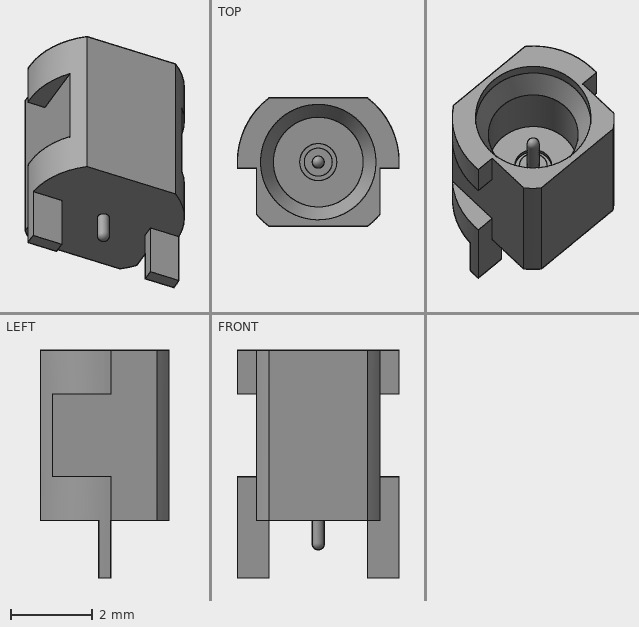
import cadquery as cq
import math

total_height = 5.61
flange_width = 3.99
flange_radius = flange_width / 2
body_depth = 3.17
body_width = 3.05
body_bottom = 1.415
body_height = total_height - body_bottom

flange_height = 1.08
flange_front = -0.15
leg_thickness = 0.305
leg_gap = 2 * math.sqrt(flange_radius**2 - (body_depth / 2) ** 2)

mouth_diameter = 2.845
bore_diameter = 2.21
mouth_depth = 0.34
taper_half_angle = 30.0
socket_depth = 2.525
groove_outer_diameter = 0.915
groove_inner_diameter = 0.69
groove_depth = 0.11

upper_pin_diameter = 0.3
upper_pin_top = 4.375
lower_pin_diameter = 0.305
lower_pin_bottom = 0.69

socket_floor = total_height - socket_depth


def cylinder(diameter, bottom, height):
    """Vertical cylinder on the connector axis."""
    return cq.Workplane("XY").workplane(offset=bottom).circle(diameter / 2).extrude(height)


def block(width, y_min, y_max, bottom, height):
    """Box centred in X."""
    return (
        cq.Workplane("XY")
        .box(width, y_max - y_min, height, centered=(True, False, False))
        .translate((0, y_min, bottom))
    )


def make_envelope():
    """Half-round outline with straight tangent sides in front of the axis."""
    front_extension = block(flange_width, flange_front, 0, 0, total_height)
    return cylinder(flange_width, 0, total_height).union(front_extension)


def make_body():
    """Rectangular column whose four corners are rounded by the flange cylinder."""
    column = block(body_width, -body_depth / 2, body_depth / 2, body_bottom, body_height)
    return column.intersect(cylinder(flange_width, 0, total_height))


def make_flange(bottom, envelope):
    slab = block(flange_width, flange_front, body_depth / 2, bottom, flange_height)
    return slab.intersect(envelope)


def make_legs(envelope):
    """Pair of flat legs hanging from the lower flange."""
    leg_top = body_bottom + flange_height
    leg_back = flange_front + leg_thickness
    legs = block(flange_width, flange_front, leg_back, 0, leg_top)
    gap = block(leg_gap, flange_front, leg_back, 0, leg_top)
    return legs.cut(gap).intersect(envelope)


def make_socket():
    """Revolved cavity: straight mouth, conical lead-in and cylindrical bore."""
    mouth_radius = mouth_diameter / 2
    bore_radius = bore_diameter / 2
    taper_top = total_height - mouth_depth
    taper_height = (mouth_radius - bore_radius) / math.tan(math.radians(taper_half_angle))
    profile = (
        cq.Workplane("XZ")
        .moveTo(0, socket_floor)
        .lineTo(bore_radius, socket_floor)
        .lineTo(bore_radius, taper_top - taper_height)
        .lineTo(mouth_radius, taper_top)
        .lineTo(mouth_radius, total_height)
        .lineTo(0, total_height)
        .close()
    )
    return profile.revolve(360, (0, 0, 0), (0, 1, 0))


def make_groove():
    """Shallow ring in the socket floor around the contact."""
    bottom = socket_floor - groove_depth
    ring = cylinder(groove_outer_diameter, bottom, groove_depth)
    return ring.cut(cylinder(groove_inner_diameter, bottom, groove_depth))


def make_pin(diameter, base, tip):
    """Round-ended pin running from base to tip, upward or downward."""
    radius = diameter / 2
    direction = math.copysign(1, tip - base)
    shoulder = tip - direction * radius
    diagonal = radius * math.sqrt(0.5)
    profile = (
        cq.Workplane("XZ")
        .moveTo(0, base)
        .lineTo(radius, base)
        .lineTo(radius, shoulder)
        .threePointArc((diagonal, shoulder + direction * diagonal), (0, tip))
        .close()
    )
    return profile.revolve(360, (0, 0, 0), (0, 1, 0))


envelope = make_envelope()
shell = make_body()
for flange_bottom in (body_bottom, total_height - flange_height):
    shell = shell.union(make_flange(flange_bottom, envelope))
shell = shell.union(make_legs(envelope))
shell = shell.cut(make_socket()).cut(make_groove())

pin_root = (body_bottom + socket_floor) / 2
upper_pin = make_pin(upper_pin_diameter, pin_root, upper_pin_top)
lower_pin = make_pin(lower_pin_diameter, pin_root, lower_pin_bottom)

result = shell.union(upper_pin).union(lower_pin)